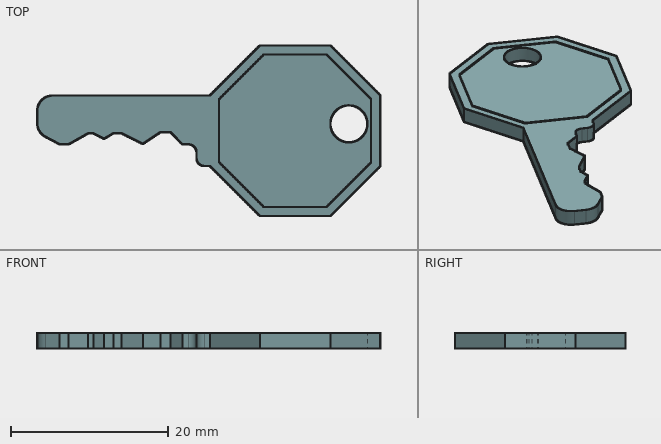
import cadquery as cq
import math

length = 43.75
thickness = 2.0
head_width = 21.75
rim_width = 1.2
recess_depth = 0.1
hole_diameter = 4.7
hole_x = 39.7
hole_y = 0.87
tip_radius = 2.0
shoulder_radius = 1.0
shoulder_x = 20.3
blade_bottom = -1.75
tip_corner_y = -0.2

head_x = length - head_width / 2
half_side = head_width / 2 * math.tan(math.pi / 8)
neck_x = head_x - half_side

key_cuts = [
    (2.9, blade_bottom),
    (4.02, blade_bottom),
    (6.5, -0.35),
    (7.15, -0.35),
    (8.53, -1.05),
    (9.7, -0.35),
    (10.75, -0.35),
    (13.45, -1.7),
    (15.7, -0.2),
    (17.0, -0.2),
    (18.5, blade_bottom),
]


def octagon(width, height):
    """Regular octagonal prism on Z = 0, centred on the head, flats facing X and Y."""
    corner_diameter = width / math.cos(math.pi / 8)
    return (
        cq.Workplane("XY")
        .polygon(8, corner_diameter)
        .extrude(height)
        .rotate((0, 0, 0), (0, 0, 1), 22.5)
        .translate((head_x, 0, 0))
    )


def fillet_upright_edge(body, x, y, radius):
    """Round the vertical edge standing at (x, y)."""
    edge = cq.selectors.NearestToPointSelector((x, y, thickness / 2))
    return body.edges("|Z").edges(edge).fillet(radius)


def blade():
    """Blade with its key cuts, rounded tip and stepped shoulder."""
    outline = [
        (neck_x, half_side),
        (0, half_side),
        (0, tip_corner_y),
        *key_cuts,
        (shoulder_x, blade_bottom),
        (shoulder_x, -half_side),
        (neck_x, -half_side),
    ]
    body = cq.Workplane("XY").polyline(outline).close().extrude(thickness)
    for y in (half_side, tip_corner_y):
        body = fillet_upright_edge(body, 0, y, tip_radius)
    for y in (blade_bottom, -half_side):
        body = fillet_upright_edge(body, shoulder_x, y, shoulder_radius)
    return body


head = octagon(head_width, thickness)
recess = octagon(head_width - 2 * rim_width, recess_depth).translate((0, 0, thickness - recess_depth))
hole = cq.Workplane("XY").center(hole_x, hole_y).circle(hole_diameter / 2).extrude(thickness)

result = head.union(blade()).cut(recess).cut(hole)